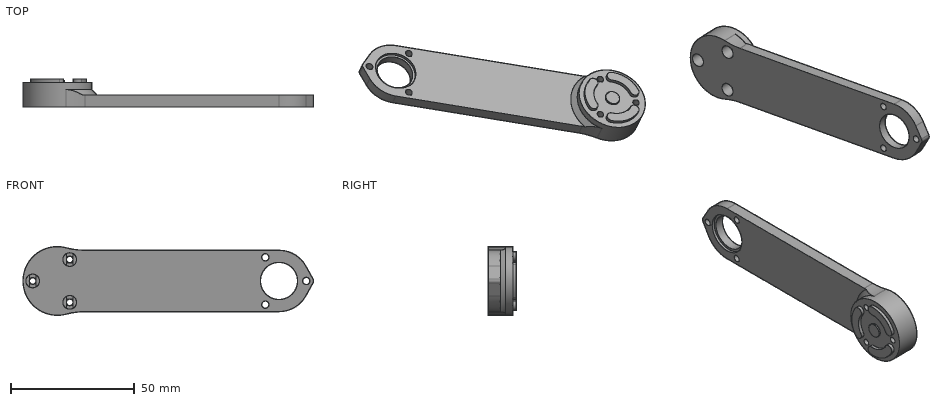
import cadquery as cq
import math

length = 118.0
head_radius = 13.98
head_height = 10.0
arm_half_width = 12.5
arm_thickness = 5.0
neck_radius = 30.0
tip_center_x = 104.0
tip_flank_angle = 29

collar_height = 7.1

tip_bore_diameter = 15.0
tip_recess_diameter = 17.0
tip_recess_depth = 1.2
tip_hole_diameter = 2.8
tip_hole_circle_radius = 11.1

screw_circle_radius = 10.0
screw_diameter = 2.6
counterbore_diameter = 5.5
counterbore_depth = 5.9
step_depth = 0.2

raised_height = 1.4
bar_half_width = 1.9
bar_half_span = 34
hub_radius = 3.0
hub_height = 0.7

head_x = head_radius
hole_count = 3


def plane_at(y):
    """Sketch plane at depth y, with local axes X, -Z; extrusion runs along +Y."""
    return cq.Workplane(cq.Plane(origin=(0, y, 0), xDir=(1, 0, 0), normal=(0, 1, 0)))


def disc(x, radius, y, height):
    return plane_at(y).center(x, 0).circle(radius).extrude(height)


def hole_centers(center_x, radius, first_angle):
    """Sketch points evenly spaced around a circle."""
    angles = [math.radians(first_angle + i * 360 / hole_count) for i in range(hole_count)]
    return [(center_x + radius * math.cos(a), radius * math.sin(a)) for a in angles]


def make_arm_outline(height):
    """Neck blends, straight arm and rounded tip, extruded from Y = 0."""
    blend_z = arm_half_width + neck_radius
    blend_dx = math.sqrt((head_radius + neck_radius) ** 2 - blend_z ** 2)
    blend_x = head_x + blend_dx
    blend_angle = math.atan2(blend_dx, blend_z)
    head_end = (head_x + head_radius * math.sin(blend_angle), head_radius * math.cos(blend_angle))
    blend_mid = (blend_x - neck_radius * math.sin(blend_angle / 2),
                 blend_z - neck_radius * math.cos(blend_angle / 2))
    flank_angle = math.radians(tip_flank_angle)
    apex_x = tip_center_x + arm_half_width / math.cos(flank_angle)
    nose_radius = (apex_x - length) / (1 / math.cos(flank_angle) - 1)
    nose_center_x = length - nose_radius

    def on_arc(center_x, radius, angle):
        return (center_x + radius * math.cos(angle), radius * math.sin(angle))

    def mirrored(point):
        return (point[0], -point[1])

    arc_mid = on_arc(tip_center_x, arm_half_width, (math.pi / 2 + flank_angle) / 2)
    arc_end = on_arc(tip_center_x, arm_half_width, flank_angle)
    nose_start = on_arc(nose_center_x, nose_radius, flank_angle)
    return (
        plane_at(0)
        .moveTo(*head_end)
        .threePointArc(blend_mid, (blend_x, arm_half_width))
        .lineTo(tip_center_x, arm_half_width)
        .threePointArc(arc_mid, arc_end)
        .lineTo(*nose_start)
        .threePointArc((length, 0), mirrored(nose_start))
        .lineTo(*mirrored(arc_end))
        .threePointArc(mirrored(arc_mid), (tip_center_x, -arm_half_width))
        .lineTo(blend_x, -arm_half_width)
        .threePointArc(mirrored(blend_mid), mirrored(head_end))
        .close()
        .extrude(height)
    )


def make_arm():
    """Arm whose thickness rises at 45 degrees to the collar height next to the head."""
    collar_radius = head_radius + collar_height - arm_thickness
    envelope = (
        cq.Workplane("XY")
        .moveTo(0, 0)
        .lineTo(length, 0)
        .lineTo(length, arm_thickness)
        .lineTo(collar_radius, arm_thickness)
        .lineTo(head_radius, collar_height)
        .lineTo(0, collar_height)
        .close()
        .revolve(360, (0, 0), (0, 1))
        .translate((head_x, 0, 0))
    )
    return make_arm_outline(collar_height).intersect(envelope)


def make_bar(middle_angle):
    """Round-ended curved bar centred on the screw circle."""
    start = math.radians(middle_angle - bar_half_span)
    middle = math.radians(middle_angle)
    end = math.radians(middle_angle + bar_half_span)
    outer = screw_circle_radius + bar_half_width
    inner = screw_circle_radius - bar_half_width

    def polar(radius, angle):
        return (head_x + radius * math.cos(angle), radius * math.sin(angle))

    def end_cap(angle, direction):
        x, z = polar(screw_circle_radius, angle)
        return (x - direction * bar_half_width * math.sin(angle),
                z + direction * bar_half_width * math.cos(angle))

    return (
        plane_at(head_height)
        .moveTo(*polar(outer, start))
        .threePointArc(polar(outer, middle), polar(outer, end))
        .threePointArc(end_cap(end, 1), polar(inner, end))
        .threePointArc(polar(inner, middle), polar(inner, start))
        .threePointArc(end_cap(start, -1), polar(outer, start))
        .close()
        .extrude(raised_height)
    )


def make_screw_holes(centers):
    """Counterbore, slot step, square step and round through hole."""
    slot_top = counterbore_depth + step_depth
    square_top = slot_top + step_depth
    bores = plane_at(0).pushPoints(centers).circle(counterbore_diameter / 2).extrude(counterbore_depth)
    slots = plane_at(0).pushPoints(centers).rect(screw_diameter, counterbore_diameter).extrude(slot_top)
    bore_columns = plane_at(0).pushPoints(centers).circle(counterbore_diameter / 2).extrude(slot_top)
    squares = plane_at(0).pushPoints(centers).rect(screw_diameter, screw_diameter).extrude(square_top)
    rounds = plane_at(0).pushPoints(centers).circle(screw_diameter / 2).extrude(head_height)
    return bores.union(slots.intersect(bore_columns)).union(squares).union(rounds)


def make_tip_holes():
    """Stepped bore with small holes around it."""
    centers = hole_centers(tip_center_x, tip_hole_circle_radius, 0)
    small = plane_at(0).pushPoints(centers).circle(tip_hole_diameter / 2).extrude(arm_thickness)
    bore = disc(tip_center_x, tip_bore_diameter / 2, 0, arm_thickness)
    recess_floor = arm_thickness - tip_recess_depth
    recess = disc(tip_center_x, tip_recess_diameter / 2, recess_floor, tip_recess_depth)
    return small.union(bore).union(recess)


screw_centers = hole_centers(head_x, screw_circle_radius, 180)

body = disc(head_x, head_radius, 0, head_height).union(make_arm())
body = body.union(disc(head_x, hub_radius, head_height, hub_height))
for i in range(hole_count):
    body = body.union(make_bar(i * 360 / hole_count))
result = body.cut(make_screw_holes(screw_centers)).cut(make_tip_holes())